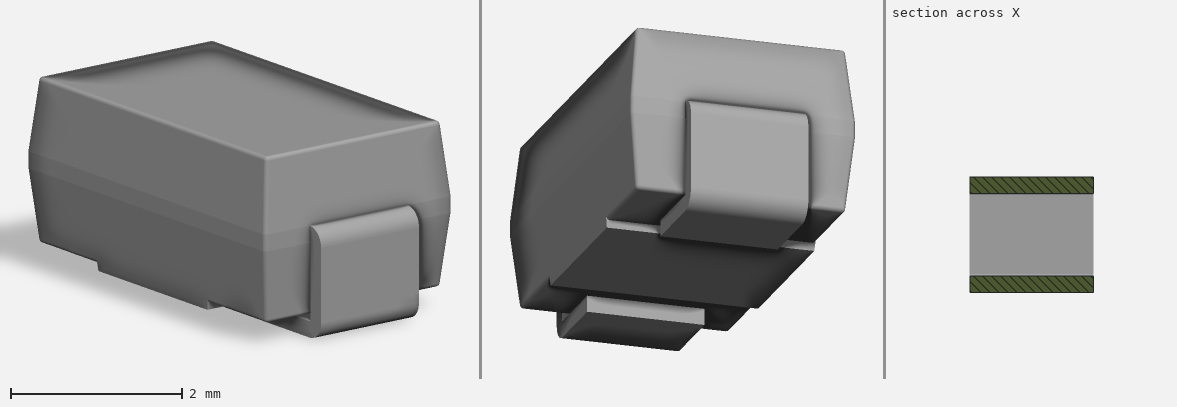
import cadquery as cq
import math

overall_length = 4.99
body_width = 2.76
top_z = 2.26

draft_angle = 6.0
half_height = 0.905
band_height = 0.205
band_top_z = top_z - half_height
band_bottom_z = band_top_z - band_height
edge_radius = 0.05

pedestal_length = 2.295
pedestal_bottom_z = 0.155

lead_thickness = 0.2
lead_width = 1.44
bend_radius = 0.22
foot_length = 1.135

body_length = overall_length - 2 * bend_radius


def drafted_block(length, width, height):
    """Block on Z = 0 whose four sides lean inward as it rises."""
    return cq.Workplane("XY").rect(length, width).extrude(height, taper=draft_angle)


def rounded_half():
    """Drafted half of the body with its corner and end edges rounded."""
    half = drafted_block(body_length, body_width, half_height)
    return half.faces("not <Z").edges("not <Z").fillet(edge_radius)


def make_body():
    band = (
        cq.Workplane("XY")
        .box(body_length, body_width, band_height, centered=(True, True, False))
        .edges("|Z")
        .fillet(edge_radius)
        .translate((0, 0, band_bottom_z))
    )
    upper_half = rounded_half().translate((0, 0, band_top_z))
    lower_half = rounded_half().mirror("XY").translate((0, 0, band_bottom_z))
    pedestal = (
        drafted_block(pedestal_length, body_width, band_bottom_z - pedestal_bottom_z)
        .mirror("XY")
        .translate((0, 0, band_bottom_z))
    )
    return (
        band.union(upper_half, clean=False)
        .union(lower_half, clean=False)
        .union(pedestal, clean=False)
    )


def make_lead(side):
    """One lead on the +X (side = 1) or -X (side = -1) end of the body."""
    outer_x = overall_length / 2
    inner_x = outer_x - lead_thickness
    bend_x = outer_x - bend_radius
    upper_bend_z = band_top_z - bend_radius
    lower_bend_z = bend_radius
    upper_end_z = band_top_z - lead_thickness
    inner_radius = bend_radius - lead_thickness
    outer_diagonal = bend_radius * math.sqrt(0.5)
    inner_diagonal = inner_radius * math.sqrt(0.5)
    foot_end_x = outer_x - foot_length

    def at(x, z):
        return (side * x, z)

    profile = (
        cq.Workplane("XZ", origin=(0, lead_width / 2, 0))
        .moveTo(*at(bend_x, band_top_z))
        .threePointArc(at(bend_x + outer_diagonal, upper_bend_z + outer_diagonal), at(outer_x, upper_bend_z))
        .lineTo(*at(outer_x, lower_bend_z))
        .threePointArc(at(bend_x + outer_diagonal, lower_bend_z - outer_diagonal), at(bend_x, 0))
        .lineTo(*at(foot_end_x, 0))
        .lineTo(*at(foot_end_x, lead_thickness))
        .lineTo(*at(bend_x, lead_thickness))
        .threePointArc(at(bend_x + inner_diagonal, lower_bend_z - inner_diagonal), at(inner_x, lower_bend_z))
        .lineTo(*at(inner_x, upper_bend_z))
        .threePointArc(at(bend_x + inner_diagonal, upper_bend_z + inner_diagonal), at(bend_x, upper_end_z))
        .close()
    )
    return profile.extrude(lead_width)


body = make_body()
leads = [make_lead(side) for side in (-1, 1)]

result = cq.Compound.makeCompound([body.solids().val(), *[lead.val() for lead in leads]])